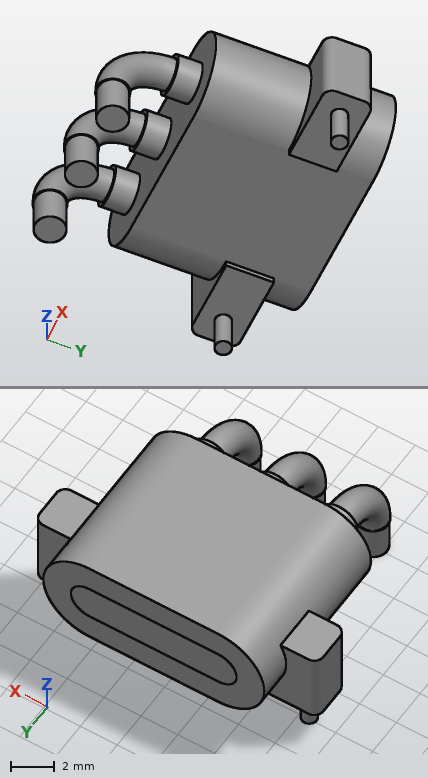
import cadquery as cq


contact_pitch = 3.5
contact_count = 3
collar_diameter = 2.0
collar_length = 1.2
elbow_diameter = 1.6
bend_radius = 2.85
tail_diameter = 1.51
tail_bottom_z = -4.8

housing_width = 12.0
housing_height = 5.0
housing_depth = 9.0
front_wall = 2.0

ear_span = 15.4
ear_depth = 2.39
ear_back_gap = 1.85
ear_top_z = 1.2
ear_bottom_z = -2.8
ear_corner_radius = 0.5
peg_diameter = 0.8
peg_spacing = 12.97

contact_row_length = contact_pitch * (contact_count - 1)
ear_centre_y = housing_depth - ear_back_gap - ear_depth / 2


def oval_bar(width, height, start_y, end_y):
    """A bar along Y with a rounded-end section."""
    return (
        cq.Workplane("XZ", origin=(0, start_y, 0))
        .slot2D(width, height)
        .extrude(start_y - end_y)
    )


def make_ear(side):
    """A mounting ear with its peg; side is -1 or 1. It ends inside the housing."""
    inner_x = contact_row_length / 2
    ear_length = ear_span / 2 - inner_x
    ear = (
        cq.Workplane("XY", origin=(side * (inner_x + ear_length / 2), ear_centre_y, ear_bottom_z))
        .rect(ear_length, ear_depth)
        .extrude(ear_top_z - ear_bottom_z)
        .edges("|Z and " + (">X" if side > 0 else "<X"))
        .fillet(ear_corner_radius)
    )
    peg = (
        cq.Workplane("XY", origin=(side * peg_spacing / 2, ear_centre_y, tail_bottom_z))
        .circle(peg_diameter / 2)
        .extrude(ear_bottom_z - tail_bottom_z)
    )
    return ear.union(peg)


def make_contact(x):
    """A collar through the front wall, a quarter-turn elbow and a straight tail."""
    collar = (
        cq.Workplane("XZ", origin=(x, front_wall, 0))
        .circle(collar_diameter / 2)
        .extrude(front_wall + collar_length)
    )
    elbow = (
        cq.Workplane("XZ", origin=(x, -collar_length, 0))
        .circle(elbow_diameter / 2)
        .revolve(90, (-0.15, -bend_radius, 0), (0.15, -bend_radius, 0))
    )
    tail = (
        cq.Workplane("XY", origin=(x, -collar_length - bend_radius, tail_bottom_z))
        .circle(tail_diameter / 2)
        .extrude(-bend_radius - tail_bottom_z)
    )
    return collar.union(elbow).union(tail)


def make_contact_block():
    """The oval core behind the front wall, carrying the row of contacts."""
    block = oval_bar(
        contact_row_length + collar_diameter, collar_diameter, front_wall, housing_depth
    )
    for index in range(contact_count):
        x = index * contact_pitch - contact_row_length / 2
        block = block.union(make_contact(x))
    return block


def make_housing(contact_block):
    """The oval shell with its ears, recessed to match the contact block."""
    housing = oval_bar(housing_width, housing_height, 0, housing_depth)
    for side in (-1, 1):
        housing = housing.union(make_ear(side))
    return housing.cut(contact_block)


contact_block = make_contact_block()
housing = make_housing(contact_block)

result = cq.Compound.makeCompound([housing.solids().val(), contact_block.solids().val()])